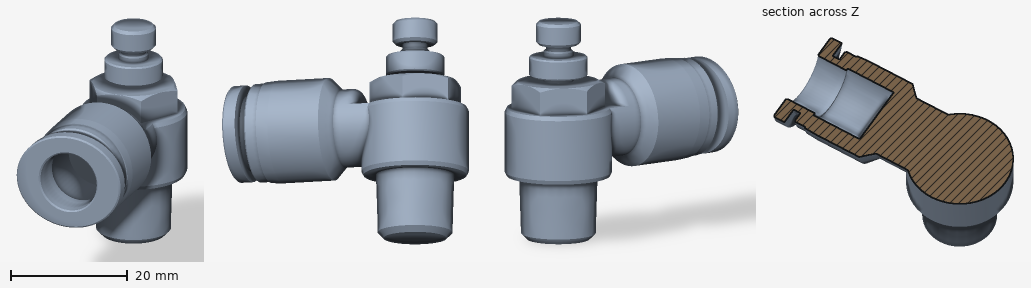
import cadquery as cq
import math


body_radius = 9.2
body_height = 11.8
body_bevel_width = 0.35
body_bevel_height = 0.7

thread_top_radius = 6.72
thread_length = 11.0
thread_end_chamfer = 1.0
taper_on_radius = 1 / 32

hex_across_flats = 14.0
hex_top = 16.4
hex_chamfer_angle = 30.0
hex_sides = 6

stem_radius = 2.55
stem_top = 21.85
stem_chamfer = 0.25
neck_radius = 2.15
nut_radius = 5.0
nut_bottom = 17.3
nut_top = 20.8
nut_chamfer = 0.25
knob_radius = 3.85
knob_bottom = 22.8
knob_top = 26.8
knob_chamfer = 0.5

arm_radius = 6.7
arm_shoulder_start = 9.2
arm_shoulder_round = 1.5
cone_start = 12.7
socket_radius = 8.8
socket_axis_height = socket_radius
socket_start = cone_start + socket_radius - arm_radius
socket_taper_start = 23.8
socket_taper_end = 25.9
socket_taper_radius = 8.65
rim_radius = 8.45
rim_end = 28.1
rim_chamfer = 0.25

sleeve_radius = 6.5
collar_start = 29.4
collar_end = 31.7
collar_width = 19.0
collar_height = 16.5
collar_chamfer = 0.25

bore_radius = 5.15
bore_mouth_chamfer = 0.25
bore_depth = 5.8
cavity_radius = 5.6
cavity_depth = 15.0


def arm_plane(distance):
    """Plane facing -Y, centred on the arm axis at a distance from the Z axis."""
    return cq.Plane(origin=(0, -distance, socket_axis_height), xDir=(1, 0, 0), normal=(0, -1, 0))


def vertical_cylinder(radius, bottom, top):
    return cq.Workplane("XY", origin=(0, 0, bottom)).circle(radius).extrude(top - bottom)


def arm_cylinder(radius, start, end):
    return cq.Workplane(arm_plane(start)).circle(radius).extrude(end - start)


def revolve_about_z(profile):
    """Revolve (radius, height) points about the Z axis."""
    return cq.Workplane("XZ").polyline(profile).close().revolve(360, (0, 0), (0, 1))


def revolve_about_arm(profile):
    """Revolve (radius, distance from the Z axis) points about the arm axis."""
    plane = cq.Plane(origin=(0, 0, socket_axis_height), xDir=(1, 0, 0), normal=(0, 0, -1))
    return cq.Workplane(plane).polyline(profile).close().revolve(360, (0, 0), (0, 1))


def make_body():
    body = vertical_cylinder(body_radius, 0, body_height)
    return body.faces("|Z").edges().chamfer(body_bevel_height, body_bevel_width)


def make_thread():
    chamfer_height = thread_length - thread_end_chamfer
    lower_radius = thread_top_radius - chamfer_height * taper_on_radius
    profile = [
        (0, 0),
        (thread_top_radius, 0),
        (lower_radius, -chamfer_height),
        (lower_radius - thread_end_chamfer, -thread_length),
        (0, -thread_length),
    ]
    return revolve_about_z(profile)


def make_hexagon():
    """Hexagon with corners on the X axis and its top corners turned to a cone."""
    flat_radius = hex_across_flats / 2
    corner_radius = flat_radius / math.cos(math.pi / hex_sides)
    hexagon = (
        cq.Workplane("XY")
        .workplane(offset=body_height)
        .polygon(hex_sides, 2 * corner_radius)
        .extrude(hex_top - body_height)
    )
    corner_drop = (corner_radius - flat_radius) * math.tan(math.radians(hex_chamfer_angle))
    profile = [
        (0, body_height),
        (corner_radius, body_height),
        (corner_radius, hex_top - corner_drop),
        (flat_radius, hex_top),
        (0, hex_top),
    ]
    cone = revolve_about_z(profile)
    return hexagon.intersect(cone)


def make_screw():
    stem = vertical_cylinder(stem_radius, hex_top, stem_top)
    stem = stem.faces(">Z").edges().chamfer(stem_chamfer)
    neck = vertical_cylinder(neck_radius, stem_top, knob_bottom)
    nut = vertical_cylinder(nut_radius, nut_bottom, nut_top)
    nut = nut.faces("|Z").edges().chamfer(nut_chamfer)
    knob = vertical_cylinder(knob_radius, knob_bottom, knob_top)
    knob = knob.faces("|Z").edges().chamfer(knob_chamfer)
    return stem.union(neck).union(nut).union(knob)


def make_arm():
    """Arm root trimmed level with the body top, with a rounded shoulder beyond it."""
    root = arm_cylinder(arm_radius, 0, cone_start)
    trim = vertical_cylinder(2 * cone_start, body_height, hex_top)
    shoulder = arm_cylinder(arm_radius, arm_shoulder_start, cone_start)
    shoulder = shoulder.faces(">Y").edges().fillet(arm_shoulder_round)
    return root.cut(trim).union(shoulder)


def make_socket():
    """Socket from the cone to the rim, with the sleeve that carries the collar."""
    profile = [
        (0, cone_start),
        (arm_radius, cone_start),
        (socket_radius, socket_start),
        (socket_radius, socket_taper_start),
        (socket_taper_radius, socket_taper_end),
        (rim_radius, socket_taper_end),
        (rim_radius, rim_end - rim_chamfer),
        (rim_radius - rim_chamfer, rim_end),
        (sleeve_radius, rim_end),
        (sleeve_radius, collar_start),
        (0, collar_start),
    ]
    return revolve_about_arm(profile)


def make_collar():
    collar = (
        cq.Workplane(arm_plane(collar_start))
        .ellipse(collar_width / 2, collar_height / 2)
        .extrude(collar_end - collar_start)
    )
    return collar.faces("<Y").edges().chamfer(collar_chamfer)


def make_bore():
    """Blind tube bore with a chamfered mouth, opening into a wider cavity behind."""
    mouth_radius = bore_radius + bore_mouth_chamfer
    bore_end = collar_end - bore_depth
    cavity_end = collar_end - cavity_depth
    profile = [
        (0, cavity_end),
        (cavity_radius, cavity_end),
        (cavity_radius, bore_end),
        (bore_radius, bore_end),
        (bore_radius, collar_end - bore_mouth_chamfer),
        (mouth_radius, collar_end),
        (0, collar_end),
    ]
    return revolve_about_arm(profile)


result = (
    make_body()
    .union(make_thread())
    .union(make_hexagon())
    .union(make_screw())
    .union(make_arm())
    .union(make_socket())
    .union(make_collar())
    .cut(make_bore())
)